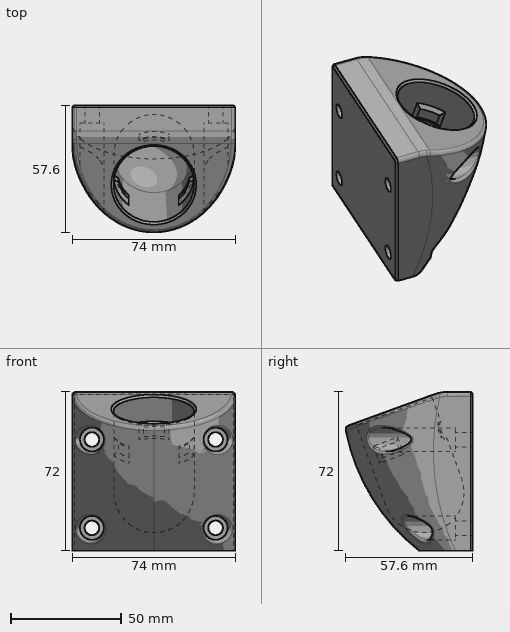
import cadquery as cq
import math

WIDTH = 74.0
HEIGHT = 72.0
HALF_WIDTH = WIDTH / 2

SLOPE_ANGLE = math.radians(20.0)
BEND_Y = -14.5
BEND_RADIUS = 16.5
RIM_FILLET = 2.0
BACK_CHAMFER = 1.0
FRONT_LIMIT = -80.0
CLEARANCE = 1.0

NOSE_PEAK_Y = -59.25
NOSE_PEAK_Z = HEIGHT
NOSE_RADIUS = 91.5
SIDE_PEAK_Y = -18.0
SIDE_PEAK_Z = 45.0
SIDE_RADIUS = 106.0
SECTION_COUNT = 7
TOP_STOCK = 1.0

SOCKET_DIAMETER = 36.5
SOCKET_RADIUS = SOCKET_DIAMETER / 2
SOCKET_Y = -36.0
SOCKET_DEPTH = 40.0
SOCKET_CHAMFER = 1.0

RIB_COUNT = 3
RIB_FIRST_ANGLE = 90.0
RIB_TOP = 12.5
RIB_HEIGHT = 8.2
RIB_PROJECTION = 1.8
RIB_TAPER = RIB_PROJECTION
RIB_END_DISTANCE = 11.3
RIB_END_ANGLE = math.radians(60.0)

HOLE_DIAMETER = 6.5
COUNTERBORE_DIAMETER = 10.8
SEAT_THICKNESS = 8.0
HOLE_PITCH_X = 56.0
HOLE_PITCH_Z = 40.0
LOWER_HOLE_Z = 10.4
MOUTH_FILLET = 1.2


def arc_y(peak_y, peak_z, radius, z):
    """Y at height z of an arc that bulges forward to peak_y at height peak_z."""
    return peak_y + radius - math.sqrt(radius**2 - (z - peak_z) ** 2)


def slope_z(y):
    """Height of the sloping face at y."""
    return HEIGHT + (y - BEND_Y) * math.tan(SLOPE_ANGLE)


def half_ellipse(center, forward, depth):
    """Two quarter-ellipse edges, left to front to right, spanning the full width."""
    across = cq.Vector(1, 0, 0)
    normal = forward.cross(across)
    if depth > HALF_WIDTH:
        radii = (depth, HALF_WIDTH)
        major_axis = forward
        front_angle = 0
    else:
        radii = (HALF_WIDTH, depth)
        major_axis = across
        front_angle = 270
    return [
        cq.Edge.makeEllipse(*radii, center, normal, major_axis, front_angle - 90, front_angle),
        cq.Edge.makeEllipse(*radii, center, normal, major_axis, front_angle, front_angle + 90),
    ]


def body_section(fraction):
    """Outline at a fraction of the height: straight back and sides, half-elliptic front.

    The sections lie level at the bottom and lean with the slope at the top.
    """
    side_z = fraction * (HEIGHT + TOP_STOCK)
    nose_z = fraction * (slope_z(NOSE_PEAK_Y) + TOP_STOCK)
    side_y = arc_y(SIDE_PEAK_Y, SIDE_PEAK_Z, SIDE_RADIUS, side_z)
    nose_y = arc_y(NOSE_PEAK_Y, NOSE_PEAK_Z, NOSE_RADIUS, nose_z)
    back_z = side_z - side_y * (side_z - nose_z) / (side_y - nose_y)
    center = cq.Vector(0, side_y, side_z)
    forward = cq.Vector(0, nose_y, nose_z) - center
    left_back = cq.Vector(-HALF_WIDTH, 0, back_z)
    right_back = cq.Vector(HALF_WIDTH, 0, back_z)
    left_side = cq.Vector(-HALF_WIDTH, side_y, side_z)
    right_side = cq.Vector(HALF_WIDTH, side_y, side_z)
    return cq.Wire.assembleEdges([
        cq.Edge.makeLine(left_back, left_side),
        *half_ellipse(center, forward.normalized(), forward.Length),
        cq.Edge.makeLine(right_side, right_back),
        cq.Edge.makeLine(right_back, left_back),
    ])


def make_body():
    sections = [body_section(i / (SECTION_COUNT - 1)) for i in range(SECTION_COUNT)]
    return cq.Workplane(obj=cq.Solid.makeLoft(sections))


def trim_top(body):
    """Keep what lies below the flat land, the bend and the slope."""
    half_bend = SLOPE_ANGLE / 2
    tangent_length = BEND_RADIUS * math.tan(half_bend)
    bend_start_y = BEND_Y + tangent_length
    bend_end_y = BEND_Y - tangent_length * math.cos(SLOPE_ANGLE)
    bend_middle = (
        bend_start_y - BEND_RADIUS * math.sin(half_bend),
        HEIGHT - BEND_RADIUS * (1 - math.cos(half_bend)),
    )
    envelope = (
        cq.Workplane("YZ")
        .moveTo(0, 0)
        .lineTo(0, HEIGHT)
        .lineTo(bend_start_y, HEIGHT)
        .threePointArc(bend_middle, (bend_end_y, slope_z(bend_end_y)))
        .lineTo(FRONT_LIMIT, slope_z(FRONT_LIMIT))
        .lineTo(FRONT_LIMIT, 0)
        .close()
        .extrude(HALF_WIDTH + CLEARANCE, both=True)
    )
    return body.intersect(envelope)


def soften_edges(body):
    """Round the rim of the top, then chamfer the top and sides of the back."""
    top_faces = [face for face in body.faces().vals() if face.normalAt().z > math.sin(SLOPE_ANGLE)]
    body = body.newObject(top_faces).edges("not |X").fillet(RIM_FILLET)
    return body.faces(">Y").edges("not(<Z)").chamfer(BACK_CHAMFER)


def cut_mounting_hole(body, x, z):
    back = cq.Workplane("XZ", origin=(x, 0, z))
    seat = cq.Workplane("XZ", origin=(x, -SEAT_THICKNESS, z))
    body = body.cut(back.circle(HOLE_DIAMETER / 2).extrude(-FRONT_LIMIT))
    body = body.cut(seat.circle(COUNTERBORE_DIAMETER / 2).extrude(-FRONT_LIMIT))
    reach = COUNTERBORE_DIAMETER / 2
    mouth_zone = cq.selectors.BoxSelector(
        (x - reach, FRONT_LIMIT, z - reach),
        (x + reach, -SEAT_THICKNESS - CLEARANCE, z + reach),
    )
    mouth = [edge for edge in body.edges(mouth_zone).vals() if edge.geomType() != "LINE"]
    return body.newObject(mouth).fillet(MOUTH_FILLET)


def cut_mounting_holes(body):
    for x in (-HOLE_PITCH_X / 2, HOLE_PITCH_X / 2):
        for z in (LOWER_HOLE_Z, LOWER_HOLE_Z + HOLE_PITCH_Z):
            body = cut_mounting_hole(body, x, z)
    return body


def revolve_about_axis(half_section):
    """Turn a closed (radius, height) outline about the socket axis."""
    return half_section.close().revolve(360, (0, 0, 0), (0, 1, 0))


def make_socket():
    """Socket space with its mouth at Z = 0: chamfer, wall and round floor."""
    diagonal = SOCKET_RADIUS * math.sqrt(0.5)
    return revolve_about_axis(
        cq.Workplane("XZ")
        .moveTo(0, CLEARANCE)
        .lineTo(SOCKET_RADIUS + SOCKET_CHAMFER + CLEARANCE, CLEARANCE)
        .lineTo(SOCKET_RADIUS, -SOCKET_CHAMFER)
        .lineTo(SOCKET_RADIUS, -SOCKET_DEPTH)
        .threePointArc((diagonal, -SOCKET_DEPTH - diagonal), (0, -SOCKET_DEPTH - SOCKET_RADIUS))
    )


def make_rib():
    """One rib centred on +X: a tapered ring cut off by two converging end planes."""
    crest_radius = SOCKET_RADIUS - RIB_PROJECTION
    rib_bottom = RIB_TOP + RIB_HEIGHT
    ring = revolve_about_axis(
        cq.Workplane("XZ")
        .moveTo(SOCKET_RADIUS, -RIB_TOP)
        .lineTo(crest_radius, -RIB_TOP - RIB_TAPER)
        .lineTo(crest_radius, -rib_bottom + RIB_TAPER)
        .lineTo(SOCKET_RADIUS, -rib_bottom)
    )
    apex_x = RIB_END_DISTANCE / math.sin(RIB_END_ANGLE)
    outer_x = SOCKET_RADIUS + CLEARANCE
    spread = (outer_x - apex_x) * math.tan(RIB_END_ANGLE)
    wedge = (
        cq.Workplane("XY")
        .polyline([(apex_x, 0), (outer_x, spread), (outer_x, -spread)])
        .close()
        .extrude(-SOCKET_DEPTH)
    )
    return ring.intersect(wedge)


def cut_socket(body):
    """Sink the socket into the sloping face, leaving the ribs standing on its wall."""
    socket = make_socket()
    rib = make_rib()
    for i in range(RIB_COUNT):
        angle = RIB_FIRST_ANGLE + i * 360 / RIB_COUNT
        socket = socket.cut(rib.rotate((0, 0, 0), (0, 0, 1), angle))
    mouth_plane = cq.Plane(
        origin=(0, SOCKET_Y, slope_z(SOCKET_Y)),
        xDir=(1, 0, 0),
        normal=(0, -math.sin(SLOPE_ANGLE), math.cos(SLOPE_ANGLE)),
    )
    return body.cut(cq.Workplane(obj=socket.val().moved(mouth_plane.location)))


body = make_body()
body = trim_top(body)
body = soften_edges(body)
body = cut_mounting_holes(body)
result = cut_socket(body)